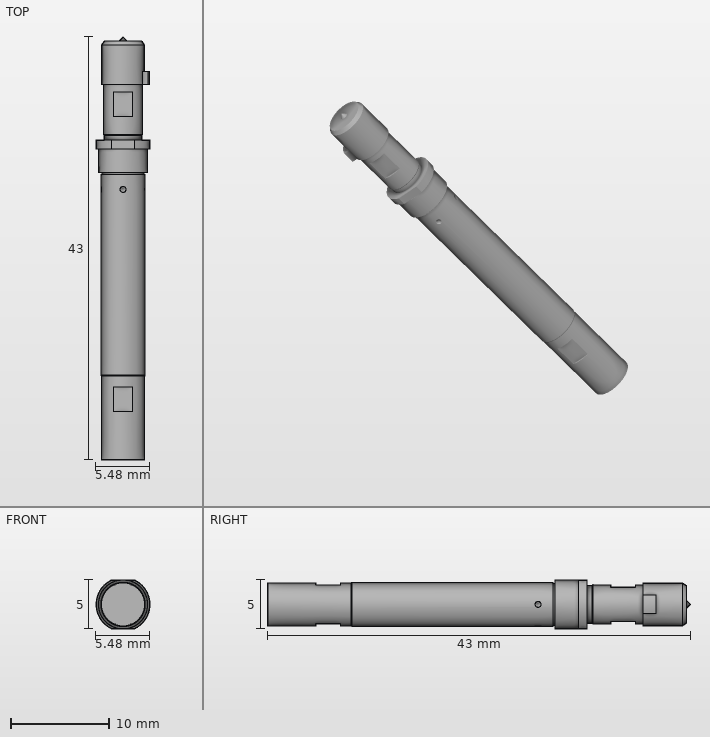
import cadquery as cq

total_length = 43.0
tip_height = 0.4
bevel_length = 0.4
head_length = 4.05
neck_length = 5.05
relief_length = 0.6
flange_length = 0.9
collar_length = 2.4
undercut_length = 0.2
tail_length = 8.5
edge_break = 0.1

face_y = total_length - tip_height
bevel_y = face_y - bevel_length
head_end_y = bevel_y - head_length
relief_start_y = head_end_y - neck_length
flange_front_y = relief_start_y - relief_length
flange_back_y = flange_front_y - flange_length
collar_end_y = flange_back_y - collar_length
body_start_y = collar_end_y - undercut_length

tip_diameter = 0.8
face_diameter = 3.8
head_diameter = 4.35
neck_diameter = 4.0
relief_diameter = 3.85
flange_diameter = 5.48
collar_diameter = 5.0
undercut_diameter = 4.3
body_diameter = 4.5
tail_diameter = 4.4

flange_across_flats = 4.96

flat_length = 2.5
neck_flat_center_y = 36.15
neck_across_flats = 3.5
tail_flat_center_y = 6.15
tail_across_flats = 3.95

key_reach = 2.7
key_length = 1.35
key_width = 1.9

dimple_y = 27.5
dimple_diameter = 0.6
dimple_depth = dimple_diameter / 2
dimple_lip = 0.03
dimple_count = 4


def make_turned_shaft():
    """Revolve the stepped half profile about the Y axis."""
    profile = [
        (0, 0),
        (tail_diameter / 2, 0),
        (tail_diameter / 2, tail_length),
        (body_diameter / 2, tail_length + edge_break),
        (body_diameter / 2, body_start_y),
        (undercut_diameter / 2, body_start_y),
        (undercut_diameter / 2, collar_end_y),
        (collar_diameter / 2, collar_end_y),
        (collar_diameter / 2, flange_back_y),
        (flange_diameter / 2, flange_back_y),
        (flange_diameter / 2, flange_front_y),
        (relief_diameter / 2, flange_front_y),
        (relief_diameter / 2, relief_start_y - edge_break),
        (neck_diameter / 2, relief_start_y),
        (neck_diameter / 2, head_end_y),
        (head_diameter / 2, head_end_y),
        (head_diameter / 2, bevel_y),
        (face_diameter / 2, face_y),
        (tip_diameter / 2, face_y),
        (0, total_length),
    ]
    return cq.Workplane("XY").polyline(profile).close().revolve(360, (0, 0), (0, 1))


def cut_opposite_flats(part, center_y, length, across_flats):
    """Remove everything beyond +/- half the across-flats height over one stretch of Y."""
    slab_height = flange_diameter
    for side in (1, -1):
        center_z = side * (across_flats + slab_height) / 2
        slab = cq.Workplane("XY").box(2 * flange_diameter, length, slab_height)
        part = part.cut(slab.translate((0, center_y, center_z)))
    return part


def make_key():
    """Key from the shaft axis outward, its outer face an arc concentric with the shaft."""
    center_y = head_end_y + key_length / 2
    block = cq.Workplane("XY").box(key_reach, key_length, key_width)
    block = block.translate((key_reach / 2, center_y, 0))
    envelope = cq.Workplane("XZ", origin=(0, head_end_y + key_length, 0))
    envelope = envelope.circle(key_reach).extrude(key_length)
    return block.intersect(envelope)


def cut_dimples(part):
    """Sink evenly spaced conical dimples into the body, each below a shallow round lip."""
    lip_base = cq.Vector(0, dimple_y, body_diameter / 2 - dimple_lip)
    inward = cq.Vector(0, 0, -1)
    point = cq.Solid.makeCone(dimple_diameter / 2, 0, dimple_depth, lip_base, inward)
    mouth = cq.Solid.makeCylinder(dimple_diameter / 2, body_diameter, lip_base)
    tool = cq.Workplane("XY").add(point.fuse(mouth))
    for index in range(dimple_count):
        angle = index * 360 / dimple_count
        part = part.cut(tool.rotate((0, 0, 0), (0, 1, 0), angle))
    return part


shaft = make_turned_shaft()
flange_center_y = flange_back_y + flange_length / 2
shaft = cut_opposite_flats(shaft, flange_center_y, flange_length, flange_across_flats)
shaft = cut_opposite_flats(shaft, neck_flat_center_y, flat_length, neck_across_flats)
shaft = cut_opposite_flats(shaft, tail_flat_center_y, flat_length, tail_across_flats)
shaft = shaft.union(make_key())
result = cut_dimples(shaft)